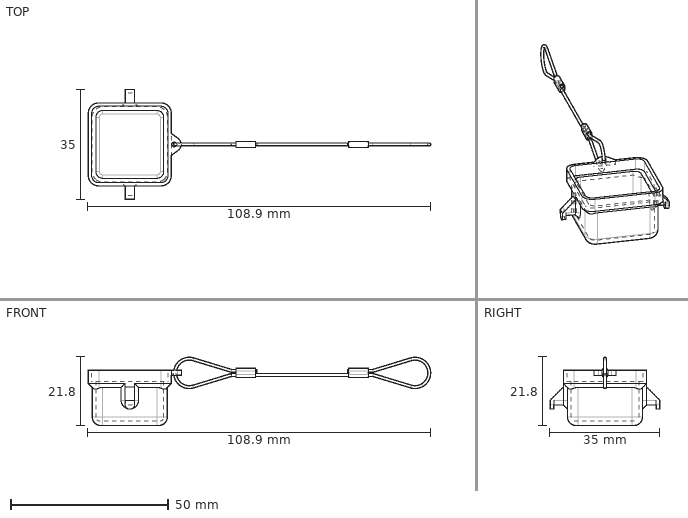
import cadquery as cq
import math


rim_width = 26.5
body_width = 24.0
corner_radius = 3.4
cap_height = 17.6
rim_bottom = 13.4
base_fillet = 2.8
rim_step = (rim_width - body_width) / 2
cap_center = rim_width / 2
step_chamfer = 1.9

rim_wall = 1.1
body_wall = 1.2
floor_thickness = 1.5
ledge_height = 14.0
floor_fillet = 1.1

hook_width = 3.0
hook_radius = hook_width / 2
hook_span = 35.0
hook_reach = hook_span / 2
hook_thickness = 1.2
hook_end_height = 8.1
hook_tip_drop = 1.3
pad_flare_angle = 45
hook_top = hook_end_height + hook_reach - cap_center

tab_thickness = 1.6
tab_half_width = 3.5
tab_shoulder_x = 28.4
tab_shoulder_half_width = 2.1
tab_tip_x = 29.7
tab_hole_x = 27.3
tab_hole_diameter = 1.4

total_length = 108.9
cable_diameter = 1.0
cable_radius = cable_diameter / 2
loop_left_x = 27.1
loop_outer_radius = 5.0
loop_radius = loop_outer_radius - cable_radius
loop_center_x = loop_left_x + loop_outer_radius
loop_center_z = 16.8
lead_offset = 0.7
bend_x = 45.5
cable_middle_x = (loop_left_x + total_length) / 2

ferrule_start_x = 47.0
ferrule_length = 6.3
ferrule_height = 3.0
ferrule_thickness = 2.0
tail_length = 0.3
ferrule_middle_x = ferrule_start_x + ferrule_length / 2


def rounded_block(width, radius, z_low, z_high):
    """Square block with rounded upright edges, centred on the cap axis."""
    block = cq.Workplane("XY", origin=(cap_center, 0, z_low)).rect(width, width)
    return block.extrude(z_high - z_low).edges("|Z").fillet(radius)


def hook_outline(y):
    """Upright outline with a half-round lower end, on a plane of constant Y."""
    return (
        cq.Workplane("XZ", origin=(cap_center, y, hook_end_height))
        .moveTo(-hook_radius, rim_bottom - hook_end_height)
        .lineTo(-hook_radius, 0)
        .threePointArc((0, -hook_radius), (hook_radius, 0))
        .lineTo(hook_radius, rim_bottom - hook_end_height)
        .close()
    )


def make_shell():
    """Outside of the cap: body, wider rim and the 45 degree step below the rim."""
    body = rounded_block(body_width, corner_radius, 0, cap_height).faces("<Z").edges().fillet(base_fillet)
    rim = rounded_block(rim_width, corner_radius, rim_bottom - step_chamfer, cap_height)
    return body.union(rim.faces("<Z").edges().chamfer(step_chamfer))


def make_hollow():
    """Stepped hollow, wider inside the rim than inside the body."""
    cavity_width = body_width - 2 * body_wall
    cavity = rounded_block(cavity_width, corner_radius - body_wall, floor_thickness, cap_height)
    cavity = cavity.faces("<Z").edges().fillet(floor_fillet)
    rim_recess_width = rim_width - 2 * rim_wall
    return cavity.union(rounded_block(rim_recess_width, corner_radius - rim_wall, ledge_height, cap_height))


def make_hook():
    """Latch hook on the low-Y side, standing on a pad that flares towards the body."""
    rim_face = -rim_width / 2
    body_face = -body_width / 2
    pad = hook_outline(rim_face).extrude(-rim_step, taper=-pad_flare_angle)

    arm = hook_outline(body_face).extrude(hook_reach + body_face)
    tip_bottom = hook_end_height - hook_tip_drop
    tip = (
        cq.Workplane("XZ", origin=(cap_center, hook_thickness - hook_reach, 0))
        .moveTo(-hook_radius, hook_end_height)
        .lineTo(-hook_radius, tip_bottom)
        .threePointArc((0, tip_bottom - hook_radius), (hook_radius, tip_bottom))
        .lineTo(hook_radius, hook_end_height)
        .close()
        .extrude(hook_thickness)
    )
    above_slope = (
        cq.Workplane("YZ")
        .polyline([(-hook_reach, hook_end_height), (rim_face, hook_top), (rim_face, cap_height),
                   (-hook_reach, cap_height)])
        .close()
        .extrude(rim_width)
    )
    return pad.union(arm.cut(above_slope)).union(tip)


def make_tab():
    """Pointed tab level with the rim top, pierced for the cable."""
    tab_bottom = cap_height - tab_thickness
    root_x = rim_width - rim_wall / 2
    half = (
        cq.Workplane("XY", origin=(0, 0, tab_bottom))
        .moveTo(root_x, 0)
        .lineTo(root_x, tab_half_width)
        .lineTo(rim_width, tab_half_width)
        .lineTo(tab_shoulder_x, tab_shoulder_half_width)
        .tangentArcPoint((tab_tip_x, 0), relative=False)
        .close()
        .extrude(tab_thickness)
    )
    hole = cq.Workplane("XY", origin=(tab_hole_x, 0, tab_bottom)).circle(tab_hole_diameter / 2)
    return half.union(half.mirror("XZ")).cut(hole.extrude(tab_thickness))


def make_loop():
    """Low-X loop of the cable, held by its ferrule with a short tail sticking out."""
    bend_to_center = bend_x - loop_center_x
    bend_distance = math.hypot(bend_to_center, lead_offset)
    leg_angle = math.asin(loop_radius / bend_distance) - math.atan2(lead_offset, bend_to_center)
    tangent_x = loop_center_x + loop_radius * math.sin(leg_angle)
    tangent_height = loop_radius * math.cos(leg_angle)
    ferrule_end_x = ferrule_start_x + ferrule_length

    path = (
        cq.Workplane("XZ", origin=(0, 0, loop_center_z))
        .moveTo(ferrule_middle_x, -lead_offset)
        .lineTo(bend_x, -lead_offset)
        .lineTo(tangent_x, -tangent_height)
        .threePointArc((loop_center_x - loop_radius, 0), (tangent_x, tangent_height))
        .lineTo(bend_x, lead_offset)
        .lineTo(ferrule_end_x + tail_length, lead_offset)
    )
    start = cq.Workplane("YZ", origin=(ferrule_middle_x, 0, loop_center_z - lead_offset))
    cable = start.circle(cable_radius).sweep(path, transition="round")
    ferrule = (
        cq.Workplane("YZ", origin=(ferrule_start_x, 0, loop_center_z))
        .slot2D(ferrule_height, ferrule_thickness, 90)
        .extrude(ferrule_length)
    )
    return cable.union(ferrule)


def make_link():
    """Straight cable from the middle of one ferrule to the middle of the other."""
    link = cq.Workplane("YZ", origin=(ferrule_middle_x, 0, loop_center_z - lead_offset)).circle(cable_radius)
    return link.extrude(2 * (cable_middle_x - ferrule_middle_x))


hook = make_hook()
cap = make_shell().union(hook).union(hook.mirror("XZ")).cut(make_hollow()).union(make_tab())
loop = make_loop()
cable = loop.union(loop.mirror("YZ", (cable_middle_x, 0, 0))).union(make_link())
result = cap.union(cable)